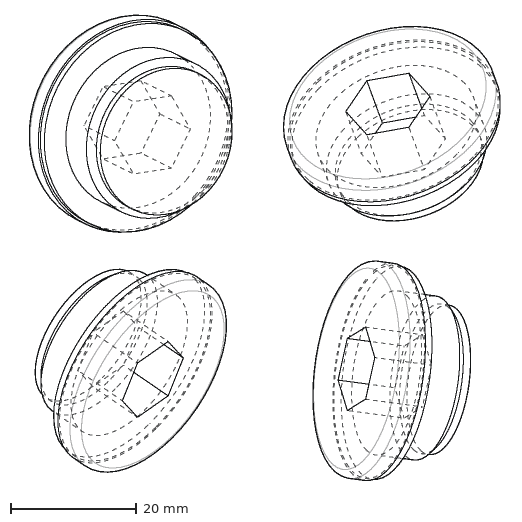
import cadquery as cq
import math

head_diameter = 35.0
head_thickness = 4.0
head_edge_radius = 1.3

collar_diameter = 34.3
collar_end = 5.3

body_diameter = 26.44
tip_diameter = 24.1
tip_length = 1.3
total_length = 14.5
bevel_length = (body_diameter - tip_diameter) / 2
tip_start = total_length - tip_length
body_end = tip_start - bevel_length

socket_across_flats = 12.0
socket_depth = 10.0


def make_plug():
    """Revolve the stepped half-profile about the X axis."""
    head_radius = head_diameter / 2
    edge_centre_radius = head_radius - head_edge_radius
    arc_reach = head_edge_radius * math.sin(math.radians(45))
    arc_middle = (head_edge_radius - arc_reach, edge_centre_radius + arc_reach)
    profile = (
        cq.Workplane("XY")
        .lineTo(0, edge_centre_radius)
        .threePointArc(arc_middle, (head_edge_radius, head_radius))
        .lineTo(head_thickness, head_radius)
        .lineTo(head_thickness, collar_diameter / 2)
        .lineTo(collar_end, collar_diameter / 2)
        .lineTo(collar_end, body_diameter / 2)
        .lineTo(body_end, body_diameter / 2)
        .lineTo(tip_start, tip_diameter / 2)
        .lineTo(total_length, tip_diameter / 2)
        .lineTo(total_length, 0)
        .close()
    )
    return profile.revolve(360, (0, 0, 0), (1, 0, 0))


def make_socket():
    """Hexagonal prism running inward from the head face."""
    across_corners = socket_across_flats / math.cos(math.radians(30))
    return cq.Workplane("YZ").polygon(6, across_corners).extrude(socket_depth)


result = make_plug().cut(make_socket())